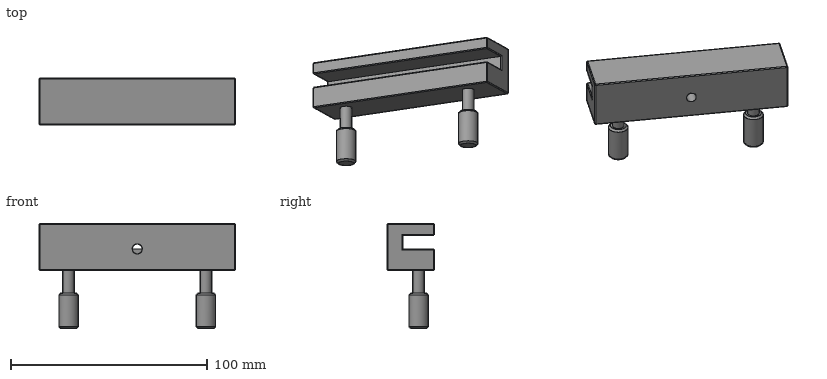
import cadquery as cq

block_length = 100.0
block_width = 24.0
block_height = 24.0
edge_chamfer = 0.5

upper_lip_thickness = 6.0
slot_height = 7.0
slot_depth = 16.0

hole_diameter = 5.0

screw_spacing = 70.0
screw_setback = 8.0
shank_diameter = 6.0
shank_length = 11.5
head_diameter = 10.0
head_length = 18.0
head_chamfer = 1.0

slot_ceiling_z = block_height - upper_lip_thickness
slot_floor_z = slot_ceiling_z - slot_height
open_face_y = block_width / 2
closed_face_y = -block_width / 2
slot_wall_y = open_face_y - slot_depth
wall_thickness = slot_wall_y - closed_face_y
screw_y = open_face_y - screw_setback


def make_block():
    """C-shaped bar with every outer edge chamfered, including the slot rims."""
    bar = cq.Workplane("XY").box(
        block_length, block_width, block_height, centered=(True, True, False)
    )
    slot = (
        cq.Workplane("XY")
        .box(block_length, slot_depth, slot_height, centered=(True, False, False))
        .translate((0, slot_wall_y, slot_floor_z))
    )
    inner_corners = cq.selectors.BoxSelector(
        (-edge_chamfer, slot_wall_y - edge_chamfer, slot_floor_z - edge_chamfer),
        (edge_chamfer, slot_wall_y + edge_chamfer, slot_ceiling_z + edge_chamfer),
    )
    return bar.cut(slot).edges(-inner_corners).chamfer(edge_chamfer)


def make_cross_hole():
    """Cylinder running from the closed face to the slot wall."""
    return (
        cq.Workplane("XZ", origin=(0, closed_face_y, slot_floor_z))
        .circle(hole_diameter / 2)
        .extrude(-wall_thickness)
    )


def make_screw(x):
    """Shank below the block with a larger head chamfered at both ends."""
    shank = (
        cq.Workplane("XY", origin=(x, screw_y, 0))
        .circle(shank_diameter / 2)
        .extrude(-shank_length)
    )
    head = (
        cq.Workplane("XY", origin=(x, screw_y, -shank_length))
        .circle(head_diameter / 2)
        .extrude(-head_length)
        .faces("<Z or >Z")
        .chamfer(head_chamfer)
    )
    return shank.union(head)


result = make_block().cut(make_cross_hole())
for side in (-1, 1):
    result = result.union(make_screw(side * screw_spacing / 2))